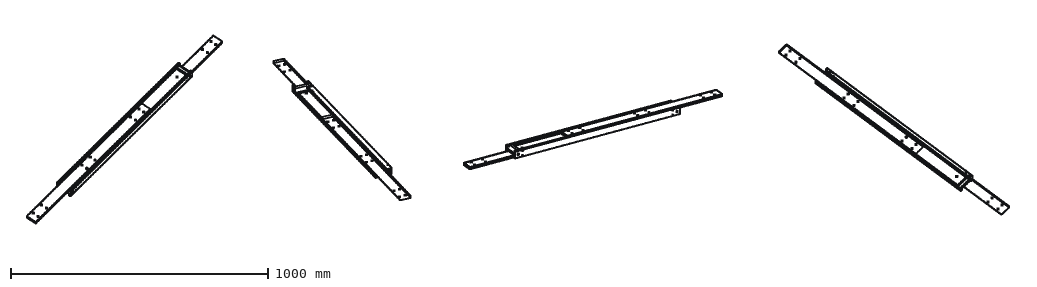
import cadquery as cq

total_length = 1150.0
housing_width = 70.0
housing_height = 32.0
housing_length = 751.0

rail_width = 8.6
rail_chamfer = 2.2
plate_thickness = 9.0
plate_hole_diameter = 7.0
plate_hole_from_end = 52.0
stop_length = 23.0

slider_width = 45.0
slider_height = 10.0
slider_length = 706.0
slider_hole_diameter = 6.3
slider_hole_spacing = 24.0
slider_hole_offsets = (25.0, 275.0, 325.0)

ball_radius = 2.9
rail_groove_depth = 2.0
slider_groove_depth = 1.7

screw_hole_diameter = 7.0
screw_hole_from_end = 14.0
pin_hole_diameter = 5.0
pin_hole_from_end = 33.0

half_height = housing_height / 2
half_length = housing_length / 2
plate_width = housing_width - 2 * rail_width
rail_centre_x = (plate_width + rail_width) / 2
slider_centre_y = (total_length - slider_length) / 2
slider_centre_z = half_height - slider_height / 2

SIGNS = (-1, 1)


def rod_along_y(radius, length, x, z):
    """Round cutter along Y, centred on y = 0."""
    return cq.Workplane("XZ").center(x, z).circle(radius).extrude(length / 2, both=True)


def cross_hole(side, diameter, y, z):
    """Round cutter along X that runs from the middle plane out through one rail."""
    return cq.Workplane("YZ").center(y, z).circle(diameter / 2).extrude(side * housing_width)


def make_rail(side):
    """Side rail with two ball grooves inside; side is -1 for the left rail and 1 for the right one."""
    outer_face = ">X" if side > 0 else "<X"
    rail = cq.Workplane("XY").box(rail_width, housing_length, housing_height)
    rail = rail.faces(outer_face).edges("|Y").chamfer(rail_chamfer)
    rail = rail.translate((side * rail_centre_x, 0, 0))

    groove_x = side * (plate_width / 2 + rail_groove_depth - ball_radius)
    for level in SIGNS:
        rail = rail.cut(rod_along_y(ball_radius, housing_length, groove_x, level * slider_centre_z))

    for end in SIGNS:
        screw_y = end * (half_length - screw_hole_from_end)
        pin_y = end * (half_length - pin_hole_from_end)
        rail = rail.cut(cross_hole(side, screw_hole_diameter, screw_y, 0))
        for level in SIGNS:
            rail = rail.cut(cross_hole(side, pin_hole_diameter, pin_y, level * slider_centre_z))
    return rail


def make_plate():
    """Centre plate with a stop on top of its +Y end and another below its -Y end.

    Each stop reaches the outer face of the housing and has a 45 degree ramp on its outer side.
    """
    plate_top = plate_thickness / 2
    stop_height = half_height - plate_top
    half_outline = [
        (half_length, -plate_top),
        (half_length, plate_top),
        (half_length - stop_height, half_height),
        (half_length - stop_length, half_height),
        (half_length - stop_length, plate_top),
    ]
    outline = half_outline + [(-y, -z) for y, z in half_outline]
    plate = cq.Workplane("YZ").polyline(outline).close().extrude(plate_width / 2, both=True)

    hole_y = half_length - plate_hole_from_end
    holes = cq.Workplane("XY").pushPoints([(0, -hole_y), (0, hole_y)])
    holes = holes.circle(plate_hole_diameter / 2).extrude(plate_thickness, both=True)
    return plate.cut(holes)


def make_slider(level):
    """Grooved slider; level 1 is the upper one, out towards -Y, and -1 the lower one, out towards +Y."""
    slider = cq.Workplane("XY").box(slider_width, slider_length, slider_height)

    groove_x = slider_width / 2 - slider_groove_depth + ball_radius
    for side in SIGNS:
        slider = slider.cut(rod_along_y(ball_radius, slider_length, side * groove_x, 0))

    hole_points = [
        (side * slider_hole_spacing / 2, end * offset)
        for side in SIGNS
        for end in SIGNS
        for offset in slider_hole_offsets
    ]
    holes = cq.Workplane("XY").pushPoints(hole_points)
    holes = holes.circle(slider_hole_diameter / 2).extrude(slider_height, both=True)
    slider = slider.cut(holes)
    return slider.translate((0, -level * slider_centre_y, level * slider_centre_z))


rails = [make_rail(side) for side in SIGNS]
plate = make_plate()
sliders = [make_slider(level) for level in SIGNS]

result = cq.Compound.makeCompound([body.val() for body in [*rails, plate, *sliders]])